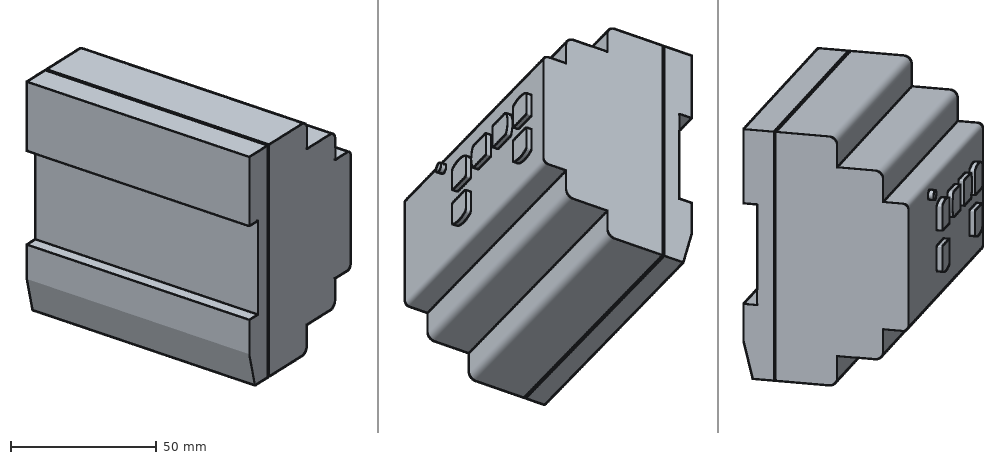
import cadquery as cq

WIDTH = 95.0
HEIGHT = 90.0
TOTAL_DEPTH = 61.0
BUTTON_HEIGHT = 2.0

BASE_DEPTH = 33.5
BASE_HALF = HEIGHT / 2
TERMINAL_DEPTH = 50.0
TERMINAL_HALF = 34.1
FACE_DEPTH = TOTAL_DEPTH - BUTTON_HEIGHT
FACE_HALF = 23.0
STEP_RADIUS = 2.9
FACE_RADIUS = 2.0

RAIL_HALF = 18.1
RAIL_DEPTH = 4.9
SLANT_START_Z = -31.5
SLANT_SETBACK = 3.3

GROOVE_Y = 11.2
GROOVE_WIDTH = 0.6
GROOVE_DEPTH = 0.2

KEY_WIDTH = 9.3
KEY_LENGTH = 10.3
KEY_BOW = 1.1
KEY_BASE_CORNER = 0.5
KEY_BOW_CORNER = 1.0
PAD_X = -13.9
PAD_Z = -0.4
OUTER_KEY_OFFSET = 20.8
INNER_KEY_OFFSET = 7.3
KEY_ROW_OFFSET = 7.9

LAMP_X = 20.9
LAMP_Z = 18.2
LAMP_DIAMETER = 3.5


def make_step(depth, half_height, radius):
    """Full-width block from the mounting face, rounded along its two front edges."""
    block = cq.Workplane("XY").box(WIDTH, depth, 2 * half_height, centered=(True, False, True))
    return block.edges("|X and >Y").fillet(radius)


def make_housing():
    housing = make_step(BASE_DEPTH, BASE_HALF, STEP_RADIUS)
    housing = housing.union(make_step(TERMINAL_DEPTH, TERMINAL_HALF, STEP_RADIUS))
    return housing.union(make_step(FACE_DEPTH, FACE_HALF, FACE_RADIUS))


def make_rail_channel():
    return cq.Workplane("XY").box(WIDTH, RAIL_DEPTH, 2 * RAIL_HALF, centered=(True, False, True))


def make_slant_cut():
    """Wedge removed from the lower edge of the mounting face."""
    return (
        cq.Workplane("YZ")
        .moveTo(0, SLANT_START_Z)
        .lineTo(SLANT_SETBACK, -BASE_HALF)
        .lineTo(0, -BASE_HALF)
        .close()
        .extrude(WIDTH / 2, both=True)
    )


def make_groove():
    """Thin rectangular ring that cuts into the four outer sides."""
    core_width = WIDTH - 2 * GROOVE_DEPTH
    core_height = HEIGHT - 2 * GROOVE_DEPTH
    ring = cq.Workplane("XZ").rect(WIDTH, HEIGHT).rect(core_width, core_height)
    return ring.extrude(GROOVE_WIDTH / 2, both=True).translate((0, GROOVE_Y, 0))


def make_key(x, z, turn):
    """Key on the front face; its bowed end points up, turned about Y by the given angle."""
    half_width = KEY_WIDTH / 2
    half_length = KEY_LENGTH / 2
    shoulder = half_length - KEY_BOW
    key = (
        cq.Workplane("XZ")
        .moveTo(-half_width, -half_length)
        .lineTo(half_width, -half_length)
        .lineTo(half_width, shoulder)
        .threePointArc((0, half_length), (-half_width, shoulder))
        .close()
        .extrude(-BUTTON_HEIGHT)
    )
    key = key.edges("|Y").edges("<Z").fillet(KEY_BASE_CORNER)
    key = key.edges("|Y").edges(">Z").fillet(KEY_BOW_CORNER)
    key = key.rotate((0, 0, 0), (0, 1, 0), turn)
    return key.translate((x, FACE_DEPTH, z))


def make_lamp():
    lamp = cq.Workplane("XZ").circle(LAMP_DIAMETER / 2).extrude(-BUTTON_HEIGHT)
    return lamp.translate((LAMP_X, FACE_DEPTH, LAMP_Z))


result = make_housing().cut(make_rail_channel()).cut(make_slant_cut()).cut(make_groove())

upper_row_z = PAD_Z + KEY_ROW_OFFSET
lower_row_z = PAD_Z - KEY_ROW_OFFSET
for side in (-1, 1):
    outer_x = PAD_X + side * OUTER_KEY_OFFSET
    inner_x = PAD_X + side * INNER_KEY_OFFSET
    result = result.union(make_key(outer_x, upper_row_z, 0))
    result = result.union(make_key(outer_x, lower_row_z, 180))
    result = result.union(make_key(inner_x, upper_row_z, side * 90))

result = result.union(make_lamp())